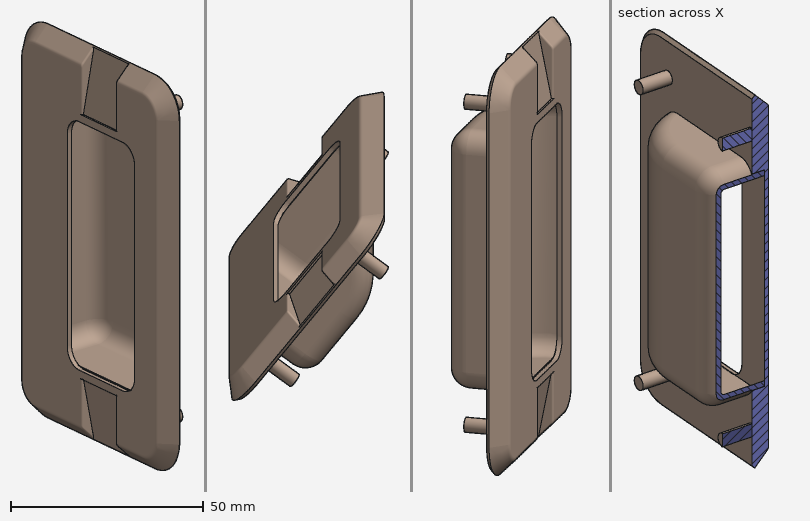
import cadquery as cq
import math


plate_width = 64.5
plate_height = 111.0
corner_radius = 10.0
front_bevel = 4.4
back_bevel = 1.0
rim_fillet = 1.5
plate_thickness = front_bevel + back_bevel
edge_land = 0.001

opening_left = -8.8
opening_width = 28.0
opening_height = 69.9
opening_corner_radius = 5.0

notch_left = -2.8
notch_width = 14.1
notch_inner_z = 37.2
notch_inner_depth = 0.5
notch_outer_z = 55.2
notch_edge_fillet = 0.5
notch_right = notch_left + notch_width
notch_outer_depth = front_bevel - (plate_height / 2 - notch_outer_z)

cup_left = -19.4
cup_arc_center_x = 0.9
cup_depth = 20.0
cup_height = 70.4
cup_fillet = 5.5
cup_wall = 0.5
cup_seat_y = 1.4

pin_diameter = 4.0
pin_end_y = 14.8
pin_x = 18.9
pin_z = 44.0

overrun = 1.1
tolerance = 0.01


def front_plane(y):
    """Workplane parallel to the front face at depth y; negative extrusions go to the back."""
    return cq.Workplane("XZ", origin=(0, y, 0))



def make_slab():
    """Rounded slab, bevelled on both faces, with the front rim rounded over."""
    slab = (
        front_plane(0)
        .rect(plate_width, plate_height)
        .extrude(-plate_thickness)
        .edges("|Y")
        .fillet(corner_radius)
    )
    slab = slab.faces(">Y").chamfer(back_bevel)
    slab = slab.faces("<Y").chamfer(front_bevel - edge_land)
    return slab.faces("<Y").edges().fillet(rim_fillet)


def notch_cutter(side):
    """Wedge that deepens toward the top (side = 1) or bottom (side = -1) edge."""
    slope = (notch_outer_depth - notch_inner_depth) / (notch_outer_z - notch_inner_z)
    end_z = plate_height / 2 + overrun
    end_depth = notch_inner_depth + slope * (end_z - notch_inner_z)
    return (
        cq.Workplane("YZ", origin=(notch_left, 0, 0))
        .polyline([
            (-overrun, side * notch_inner_z),
            (notch_inner_depth, side * notch_inner_z),
            (end_depth, side * end_z),
            (-overrun, side * end_z),
        ])
        .close()
        .extrude(notch_width)
    )


def notch_mouth_edges(wall_x, side):
    """Selector for the edges where a notch side wall meets the plate's front, rim and bevel."""
    near_x = wall_x - tolerance
    far_x = wall_x + tolerance
    edge_z = side * plate_height / 2
    rim_z = side * (plate_height / 2 - front_bevel - rim_fillet)
    on_front = cq.selectors.BoxSelector(
        (near_x, -tolerance, side * (notch_inner_z + tolerance)),
        (far_x, tolerance, edge_z),
    )
    on_rim_and_bevel = cq.selectors.BoxSelector(
        (near_x, 0, rim_z),
        (far_x, front_bevel, edge_z),
    )
    return on_front + on_rim_and_bevel


def opening_cutter():
    return (
        front_plane(-overrun)
        .center(opening_left + opening_width / 2, 0)
        .rect(opening_width, opening_height)
        .extrude(-(plate_thickness + 2 * overrun))
        .edges("|Y")
        .fillet(opening_corner_radius)
    )


def make_plate():
    plate = make_slab()
    for side in (1, -1):
        plate = plate.cut(notch_cutter(side))
        for wall_x in (notch_left, notch_right):
            plate = plate.edges(notch_mouth_edges(wall_x, side)).fillet(notch_edge_fillet)
    return plate.cut(opening_cutter()).cut(cup_form(0))



def cup_form(inset):
    """Solid shape of the cup, shrunk by inset on every side except its open front."""
    left = cup_left + inset
    radius = cup_depth - inset
    half_height = cup_height / 2 - inset
    fillet = cup_fillet - inset

    seat_angle = math.acos(cup_seat_y / radius)

    def arc_point(angle):
        return (cup_arc_center_x + radius * math.sin(angle), radius * math.cos(angle))

    form = (
        cq.Workplane("XY", origin=(0, 0, -half_height))
        .moveTo(left, cup_seat_y)
        .lineTo(left, radius)
        .lineTo(*arc_point(0))
        .threePointArc(arc_point(seat_angle / 2), arc_point(seat_angle))
        .close()
        .extrude(2 * half_height)
    )
    form = form.faces("<X").edges("|Y").fillet(fillet)
    return form.faces(cq.selectors.BoxSelector(
        (left, radius - tolerance, -half_height),
        (cup_arc_center_x, radius + tolerance, half_height),
    )).edges("not(>X)").fillet(fillet)


def make_cup():
    return cup_form(0).cut(cup_form(cup_wall))



def make_pin(x, z):
    return (
        front_plane(plate_thickness)
        .center(x, z)
        .circle(pin_diameter / 2)
        .extrude(plate_thickness - pin_end_y)
    )


plate = make_plate().solids().val()
cup = make_cup().solids().val()
pins = [make_pin(x, z).val() for x in (-pin_x, pin_x) for z in (-pin_z, pin_z)]

result = cq.Compound.makeCompound([plate, cup, *pins])